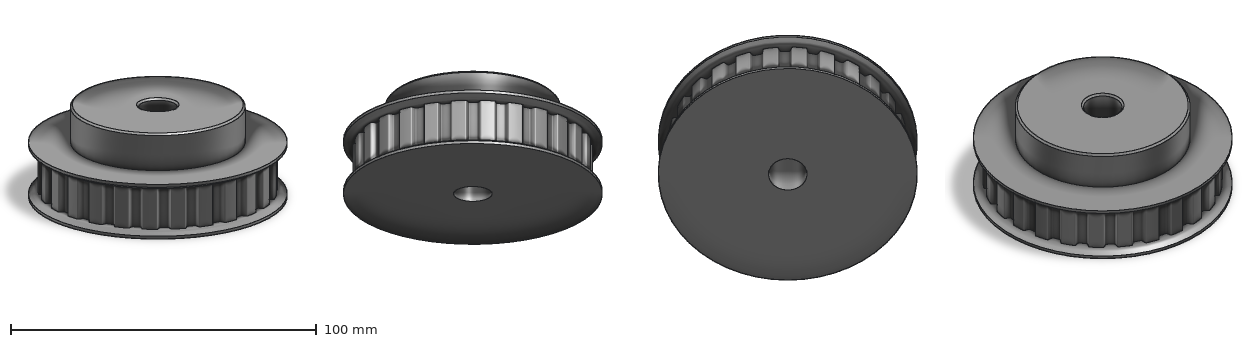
import cadquery as cq
import math

flange_radius = 42.3
total_height = 31.7
pulley_height = 18.95

flange_thickness = 2.3
flange_rim_height = 1.0
flange_cone_angle = math.radians(32)
flange_round_radius = 2.9

tooth_count = 26
tooth_tip_radius = 39.2
groove_depth = 1.8
groove_floor_width = 3.0
groove_flank_angle = math.radians(25)
tooth_round_radius = 0.5

hub_radius = 28.6
bore_radius = 6.3
edge_chamfer = 0.7


def polar(radius, angle):
    return (radius * math.cos(angle), radius * math.sin(angle))


def make_flange():
    """Flange lying on z = 0 with its sloped side facing up."""
    half_angle = flange_cone_angle / 2
    cone_run = (flange_thickness - flange_rim_height) / math.tan(flange_cone_angle)
    corner_radius = flange_radius - cone_run
    tangent_length = flange_round_radius * math.tan(half_angle)
    round_inner_radius = corner_radius - tangent_length
    round_outer_radius = corner_radius + tangent_length * math.cos(flange_cone_angle)
    round_outer_height = flange_thickness - tangent_length * math.sin(flange_cone_angle)
    round_middle = (
        round_inner_radius + flange_round_radius * math.sin(half_angle),
        flange_thickness - flange_round_radius * (1 - math.cos(half_angle)),
    )
    return (
        cq.Workplane("XZ")
        .lineTo(flange_radius, 0)
        .lineTo(flange_radius, flange_rim_height)
        .lineTo(round_outer_radius, round_outer_height)
        .threePointArc(round_middle, (round_inner_radius, flange_thickness))
        .lineTo(0, flange_thickness)
        .close()
        .revolve(360, (0, 0), (0, 1))
    )


def make_toothed_rim():
    """Teeth with flat-floored, straight-flanked grooves; one tooth points along -X."""
    pitch_angle = 2 * math.pi / tooth_count
    floor_half_width = groove_floor_width / 2
    mouth_half_width = floor_half_width + groove_depth * math.tan(groove_flank_angle)
    mouth_half_angle = math.asin(mouth_half_width / tooth_tip_radius)
    floor_distance = tooth_tip_radius * math.cos(mouth_half_angle) - groove_depth
    floor_corner_radius = math.hypot(floor_distance, floor_half_width)
    floor_half_angle = math.atan2(floor_half_width, floor_distance)

    first_tooth = math.pi
    outline = cq.Workplane("XY").moveTo(
        *polar(tooth_tip_radius, first_tooth - pitch_angle / 2 + mouth_half_angle)
    )
    for index in range(tooth_count):
        tooth_angle = first_tooth + index * pitch_angle
        groove_angle = tooth_angle + pitch_angle / 2
        outline = (
            outline.threePointArc(
                polar(tooth_tip_radius, tooth_angle),
                polar(tooth_tip_radius, groove_angle - mouth_half_angle),
            )
            .lineTo(*polar(floor_corner_radius, groove_angle - floor_half_angle))
            .lineTo(*polar(floor_corner_radius, groove_angle + floor_half_angle))
        )
        if index < tooth_count - 1:
            outline = outline.lineTo(*polar(tooth_tip_radius, groove_angle + mouth_half_angle))
    return outline.close().extrude(pulley_height).edges("|Z").fillet(tooth_round_radius)


def make_hub():
    return (
        cq.Workplane("XY")
        .circle(hub_radius)
        .extrude(total_height)
        .faces(">Z")
        .chamfer(edge_chamfer)
    )


def make_bore():
    """Through bore widened by a chamfer at the hub face."""
    return (
        cq.Workplane("XZ")
        .lineTo(bore_radius, 0)
        .lineTo(bore_radius, total_height - edge_chamfer)
        .lineTo(bore_radius + edge_chamfer, total_height)
        .lineTo(0, total_height)
        .close()
        .revolve(360, (0, 0), (0, 1))
    )


lower_flange = make_flange()
upper_flange = make_flange().mirror("XY").translate((0, 0, pulley_height))

result = (
    make_toothed_rim()
    .union(lower_flange)
    .union(upper_flange)
    .union(make_hub())
    .cut(make_bore())
)